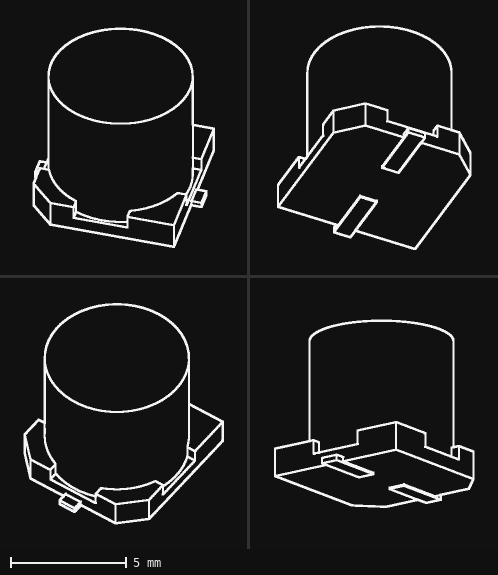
import cadquery as cq

overall_length = 7.49
overall_height = 6.35

can_diameter = 6.27

base_width = 6.6
base_bottom = 0.05
base_top = 1.3
can_seat = 0.69
corner_chamfer = 1.04
notch_width = 2.41

lead_width = 0.8
lead_thickness = 0.25
lead_gap = 2.19
lead_length = (overall_length - lead_gap) / 2


def make_can():
    """Plain cylinder standing on the seat of the base."""
    return (
        cq.Workplane("XY")
        .workplane(offset=can_seat)
        .circle(can_diameter / 2)
        .extrude(overall_height - can_seat)
    )


def make_lead(side):
    """Flat strip along X; side is -1 for the -X lead and +1 for the +X lead."""
    center_x = side * (lead_gap + lead_length) / 2
    return (
        cq.Workplane("XY")
        .center(center_x, 0)
        .rect(lead_length, lead_width)
        .extrude(lead_thickness)
    )


def make_base(can, leads):
    """Square plate with two chamfered corners, edge notches, a can seat and lead slots."""
    plate = (
        cq.Workplane("XY")
        .workplane(offset=base_bottom)
        .rect(base_width, base_width)
        .extrude(base_top - base_bottom)
        .edges("|Z and <X")
        .chamfer(corner_chamfer)
    )

    notch_floor = cq.Workplane("XY").workplane(offset=can_seat)
    notch_height = base_top - can_seat
    channel_x = notch_floor.rect(base_width, notch_width).extrude(notch_height)
    channel_y = notch_floor.rect(notch_width, base_width).extrude(notch_height)
    base = plate.cut(channel_x).cut(channel_y)

    base = base.cut(can)
    for lead in leads:
        base = base.cut(lead)
    return base


can = make_can()
leads = [make_lead(side) for side in (-1, 1)]
base = make_base(can, leads)

result = cq.Compound.makeCompound([base.val(), can.val(), *[lead.val() for lead in leads]])